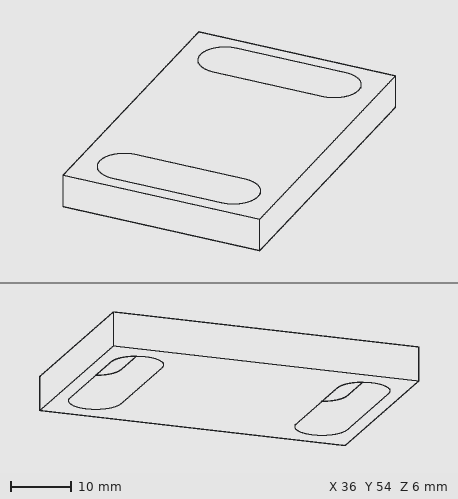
import cadquery as cq

plate_width = 36.0
plate_length = 54.0
plate_thickness = 6.0

slot_length = 29.0
slot_width = 9.0
slot_spacing = 40.0

plate = cq.Workplane("XY").box(plate_width, plate_length, plate_thickness)

result = (
    plate.faces(">Z")
    .workplane()
    .pushPoints([(0, -slot_spacing / 2), (0, slot_spacing / 2)])
    .slot2D(slot_length, slot_width)
    .cutThruAll()
)